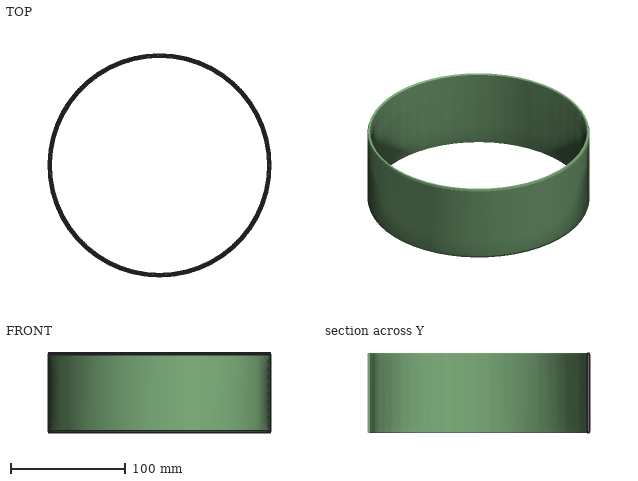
import cadquery as cq

outer_diameter = 195.0
height = 70.0
wall = 2.5
outer_bevel_height = 1.8
outer_bevel_width = 0.5
inner_bevel = 0.5
slit_width = 1.5

outer_radius = outer_diameter / 2
inner_radius = outer_radius - wall
rim_outer_radius = outer_radius - outer_bevel_width
rim_inner_radius = inner_radius + inner_bevel

wall_section = [
    (rim_inner_radius, 0),
    (rim_outer_radius, 0),
    (outer_radius, outer_bevel_height),
    (outer_radius, height - outer_bevel_height),
    (rim_outer_radius, height),
    (rim_inner_radius, height),
    (inner_radius, height - inner_bevel),
    (inner_radius, inner_bevel),
]
band = cq.Workplane("XZ").polyline(wall_section).close().revolve(360, (0, 0, 0), (0, 1, 0))

slit = (
    cq.Workplane("XY")
    .box(outer_radius, slit_width, height, centered=False)
    .translate((-outer_radius, 0, 0))
)
result = band.cut(slit)